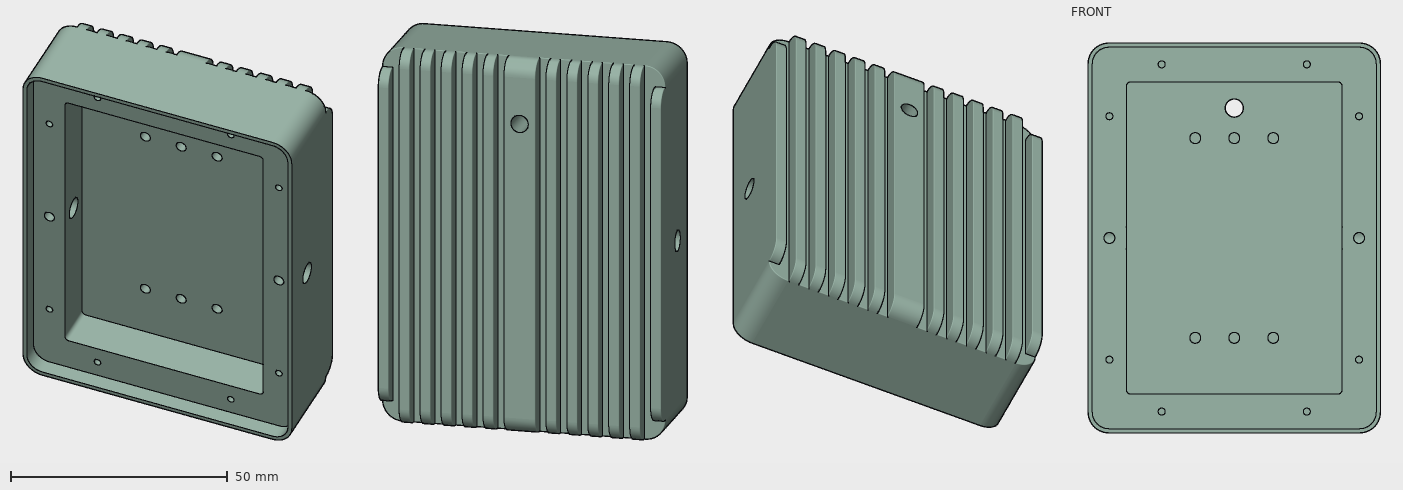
import cadquery as cq

width = 67.5
depth = 24.0
height = 90.0
corner_radius = 4.9

rim = 1.0
recess_depth = 4.0
pocket_width = 49.8
pocket_height = 72.0
pocket_depth = 10.0
pocket_radius = 1.0

fin_height = 4.0
outer_slot_x = 30.0
slot_width = 2.4
slots_per_side = 6
slot_pitch = outer_slot_x / slots_per_side
edge_round = 0.2

lid_hole_diameter = 1.6
lid_side_x = 28.8
lid_side_z = 28.1
lid_end_x = 16.7
lid_end_z = 40.05
lid_hole_depth = 6.0

clamp_hole_diameter = 2.5
side_hole_diameter = 5.0
side_hole_setback = 9.0

mount_hole_diameter = 2.5
mount_pitch_x = 9.0
mount_z = 23.0
mount_hole_depth = 4.0

wire_hole_diameter = 4.1
wire_hole_z = 30.0

front_y = -depth / 2
back_y = depth / 2
ledge_y = front_y + recess_depth
floor_y = ledge_y + pocket_depth
fin_root_y = back_y - fin_height
side_hole_y = front_y + side_hole_setback


def block_along_y(size_x, size_z, start_y, end_y, radius):
    """Block with rounded corners in the XZ outline, from start_y to end_y."""
    length = end_y - start_y
    block = cq.Workplane("XY").box(size_x, length, size_z).edges("|Y").fillet(radius)
    return block.translate((0, start_y + length / 2, 0))


def holes_along_y(points, diameter, start_y, end_y):
    """Round holes at (x, z) points, from start_y to end_y."""
    plane = cq.Workplane("XZ", origin=(0, end_y, 0))
    return plane.pushPoints(points).circle(diameter / 2).extrude(end_y - start_y)


def fin(left_x, right_x, length_z):
    """Straight fin with rounded ends and softened side edges, rooted deep inside the body."""
    blank = cq.Workplane("XY").box(right_x - left_x, 2 * fin_height, length_z)
    round_ended = blank.edges(">Y and |X").fillet(fin_height)
    softened = round_ended.faces("<X or >X").edges("not <Y").fillet(edge_round)
    return softened.translate(((left_x + right_x) / 2, fin_root_y, 0))


def mirrored(x, z):
    """The four points (+-x, +-z)."""
    return [(sx * x, sz * z) for sx in (-1, 1) for sz in (-1, 1)]


body = block_along_y(width, height, front_y, fin_root_y, corner_radius)
body = body.faces(">Y").edges().fillet(edge_round)
recess = block_along_y(width - 2 * rim, height - 2 * rim, front_y, ledge_y, corner_radius - rim)
pocket = block_along_y(pocket_width, pocket_height, ledge_y, floor_y, pocket_radius)

middle_half = slot_pitch - slot_width / 2
body = body.union(fin(-middle_half, middle_half, height))
for index in range(1, slots_per_side + 1):
    outermost = index == slots_per_side
    inner_x = index * slot_pitch + slot_width / 2
    outer_x = width / 2 if outermost else (index + 1) * slot_pitch - slot_width / 2
    fin_length = height - 2 * corner_radius if outermost else height
    body = body.union(fin(inner_x, outer_x, fin_length))
    body = body.union(fin(-outer_x, -inner_x, fin_length))

body = body.cut(recess).cut(pocket)

lid_points = mirrored(lid_side_x, lid_side_z) + mirrored(lid_end_x, lid_end_z)
body = body.cut(holes_along_y(lid_points, lid_hole_diameter, ledge_y, ledge_y + lid_hole_depth))

side_hole = (
    cq.Workplane("YZ")
    .center(side_hole_y, 0)
    .circle(side_hole_diameter / 2)
    .extrude(width / 2, both=True)
)
clamp_points = [(-lid_side_x, 0), (lid_side_x, 0)]
body = body.cut(side_hole)
body = body.cut(holes_along_y(clamp_points, clamp_hole_diameter, ledge_y, side_hole_y))

mount_points = mirrored(mount_pitch_x, mount_z) + [(0, -mount_z), (0, mount_z)]
body = body.cut(holes_along_y(mount_points, mount_hole_diameter, floor_y, floor_y + mount_hole_depth))

result = body.cut(holes_along_y([(0, wire_hole_z)], wire_hole_diameter, floor_y, back_y))